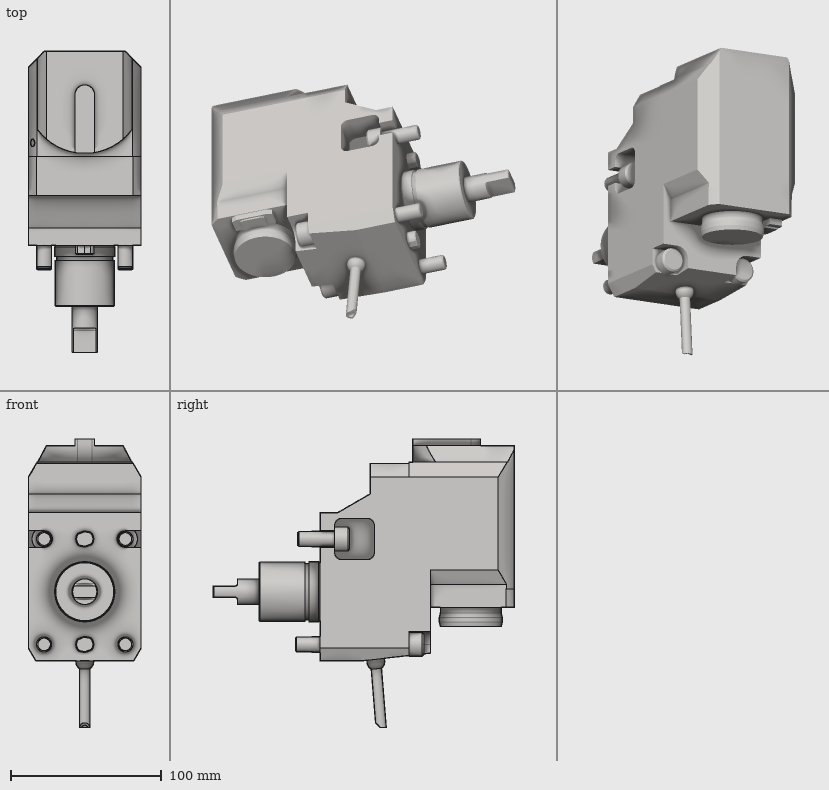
import cadquery as cq
import math


WIDTH = 75.0
HALF_WIDTH = WIDTH / 2
TAPER = math.tan(math.radians(30))
BACK_Y = 129.0
SPINDLE_Y = 100.0
BACK_CORNER = 10.8

HOUSING_BACK_Y = 73.3
HOUSING_BOTTOM_Z = -46.0
HOUSING_TOP_Z = 85.3
SHELF_TOP_Z = 52.5
SHELF_DEPTH = 11.5
STEP_Y = 33.2
STEP_Z = SHELF_TOP_Z + (STEP_Y - SHELF_DEPTH) * TAPER
BOTTOM_FLAT_DEPTH = 27.3
BOTTOM_REAR_Z = -40.8
LOWER_BEVEL_Z = -37.4
UPPER_BEVEL_Z = 76.1
HOUSING_TOP_HALF = HALF_WIDTH - (HOUSING_TOP_Z - UPPER_BEVEL_Z) * TAPER
HOUSING_BOTTOM_HALF = HALF_WIDTH - (LOWER_BEVEL_Z - HOUSING_BOTTOM_Z) * TAPER

HEAD_FRONT_Y = 58.8
HEAD_TOP_Z = 86.0
HEAD_TOP_HALF = 31.6
HEAD_BOTTOM_Z = -10.4
HEAD_BEVEL_TOP_Z = 14.4
HEAD_BEVEL_BOTTOM_Z = 4.65
NOSE_HALF = HALF_WIDTH - (HEAD_BEVEL_TOP_Z - HEAD_BEVEL_BOTTOM_Z) * TAPER
NOSE_TOP_Z = 1.7
NOSE_RADIUS = 39.5
PLUG_DIAMETER = 5.0
PLUG_DEPTH = 0.3
PLUG_Y = 68.0
PLUG_Z = 80.8

CAP_TOP_Z = 97.0
CAP_BASE_HALF = 31.3
CAP_TOP_HALF = 25.5
CAP_RADIUS = 39.0
CAP_FLAT_HALF = 4.65
CAP_FRONT_Y = SPINDLE_Y - math.sqrt(CAP_RADIUS**2 - CAP_FLAT_HALF**2)
KEY_WIDTH = 13.0
KEY_TOP_Z = 101.5

SCREW_X = 27.0
SCREW_Z = 35.0
SCREW_DIAMETER = 10.0
SCREW_HEAD_DIAMETER = 16.0
SCREW_HEAD_HEIGHT = 10.0
SCREW_CHAMFER = 0.8
SCREW_HEAD_CHAMFER = 1.2
UPPER_SEAT_Y = 9.5
UPPER_TIP_Y = -15.0
LOWER_SEAT_Y = HEAD_FRONT_Y
LOWER_TIP_Y = -16.5
POCKET_LENGTH = 26.5
POCKET_HEIGHT = 27.5
POCKET_DEPTH = 19.0
POCKET_CORNER = 5.0
SLOT_WIDTH = 11.0
COUNTERBORE_RADIUS = 8.5

DOG_DIAMETER = 12.0
DOG_RIDGE_X = -0.3
DOG_RIDGE_Z = 5.4
DOG_LEFT_X = -4.7
DOG_RIGHT_X = 3.8
DOG_LENGTH = 6.0
DOG_CHAMFER = 0.6

FLANGE_DIAMETER = 40.0
FLANGE_LENGTH = 7.6
FLANGE_CHAMFER = 1.0
GROOVE_DIAMETER = 37.5
GROOVE_LENGTH = 2.6
SHANK_DIAMETER = 39.5
SHANK_END_Y = -40.5
SHANK_CHAMFER = 0.5
SHAFT_DIAMETER = 17.0
SHAFT_END_Y = -71.2
TANG_START_Y = -55.0
TANG_THICKNESS = 7.6
TANG_FILLET = 1.5
TANG_CHAMFER = 0.5

BALL_DIAMETER = 12.0
NOZZLE_Y = 36.9
NOZZLE_Z = -46.3
TUBE_DIAMETER = 7.0
TUBE_BORE = 4.0
TUBE_BORE_DEPTH = 6.0
TUBE_TILT = 4.6
TUBE_END_Z = -90.27
TUBE_MITRE_HEIGHT = 3.0

LUG_HALF = 13.8
LUG_FLAT_HALF = 10.6
LUG_FLAT_X = 31.5
LUG_BOTTOM_Z = -14.5
LUG_STEP_HALF = 8.1
LUG_STEP_FLAT_HALF = 5.2
LUG_STEP_FLAT_X = 30.5
LUG_STEP_BOTTOM_Z = -15.6

NUT_DIAMETER = 42.0
NUT_RIM_DIAMETER = 40.5
NUT_BOTTOM_Z = -23.1
NUT_RIM_END_Z = -14.0
NUT_BAND_Z = -17.0
NUT_BEVEL_Z = -20.2


def box(x_range, y_range, z_range):
    """Axis-aligned box from its limits along X, Y and Z."""
    size = [high - low for low, high in (x_range, y_range, z_range)]
    corner = cq.Vector(x_range[0], y_range[0], z_range[0])
    return cq.Workplane(cq.Solid.makeBox(*size, corner))


def rod(diameter, start_y, end_y, x=0.0, z=0.0):
    """Round bar along Y between two places, start_y being the smaller."""
    start = cq.Vector(x, start_y, z)
    return cq.Workplane(
        cq.Solid.makeCylinder(diameter / 2, end_y - start_y, start, cq.Vector(0, 1, 0))
    )


def upright(radius, low_z, high_z):
    """Cylinder on the spindle axis."""
    return cq.Workplane(
        cq.Solid.makeCylinder(radius, high_z - low_z, cq.Vector(0, SPINDLE_Y, low_z))
    )


def mirrored_section(half_outline, start_y, end_y):
    """Prism along Y whose cross-section is symmetric about X = 0."""
    left = [(-x, z) for x, z in reversed(half_outline)]
    section = cq.Workplane("XZ", origin=(0, end_y, 0)).polyline(half_outline + left).close()
    return section.extrude(end_y - start_y)


def make_housing_block():
    side = [
        (0, HOUSING_BOTTOM_Z),
        (0, SHELF_TOP_Z),
        (SHELF_DEPTH, SHELF_TOP_Z),
        (STEP_Y, STEP_Z),
        (STEP_Y, HOUSING_TOP_Z),
        (HEAD_FRONT_Y, HOUSING_TOP_Z),
        (HEAD_FRONT_Y, UPPER_BEVEL_Z),
        (HOUSING_BACK_Y, UPPER_BEVEL_Z),
        (HOUSING_BACK_Y, BOTTOM_REAR_Z),
        (BOTTOM_FLAT_DEPTH, HOUSING_BOTTOM_Z),
    ]
    block = cq.Workplane("YZ").polyline(side).close().extrude(HALF_WIDTH, both=True)
    front_outline = [
        (HOUSING_BOTTOM_HALF, HOUSING_BOTTOM_Z),
        (HALF_WIDTH, LOWER_BEVEL_Z),
        (HALF_WIDTH, UPPER_BEVEL_Z),
        (HOUSING_TOP_HALF, HOUSING_TOP_Z),
    ]
    return block.intersect(mirrored_section(front_outline, 0, HOUSING_BACK_Y))


def make_head():
    """Spindle head with its cap, cut to the bevelled back corners, on a round-cornered nose."""
    upper = mirrored_section(
        [
            (NOSE_HALF, NOSE_TOP_Z),
            (NOSE_HALF, HEAD_BEVEL_BOTTOM_Z),
            (HALF_WIDTH, HEAD_BEVEL_TOP_Z),
            (HALF_WIDTH, UPPER_BEVEL_Z),
            (HEAD_TOP_HALF, HEAD_TOP_Z),
        ],
        HEAD_FRONT_Y,
        BACK_Y,
    )
    upper = upper.cut(box((-WIDTH, WIDTH), (0, HOUSING_BACK_Y), (NOSE_TOP_Z, HEAD_BEVEL_TOP_Z)))
    envelope = (
        box((-HALF_WIDTH, HALF_WIDTH), (0, BACK_Y), (NOSE_TOP_Z, CAP_TOP_Z))
        .edges("|Z and >Y")
        .chamfer(BACK_CORNER)
    )
    nose = box((-NOSE_HALF, NOSE_HALF), (HOUSING_BACK_Y, BACK_Y), (HEAD_BOTTOM_Z, NOSE_TOP_Z))
    square_front = (HOUSING_BACK_Y, SPINDLE_Y)
    nose_limit = upright(NOSE_RADIUS, HEAD_BOTTOM_Z, NOSE_TOP_Z).union(
        box((-HALF_WIDTH, HALF_WIDTH), square_front, (HEAD_BOTTOM_Z, NOSE_TOP_Z))
    )
    nose = nose.intersect(nose_limit)
    return upper.union(make_cap()).intersect(envelope).union(nose)


def make_cap():
    """Sloping-sided cap with a round front that has a narrow flat in the middle."""
    cap = mirrored_section(
        [(CAP_BASE_HALF, HEAD_TOP_Z), (CAP_TOP_HALF, CAP_TOP_Z)], CAP_FRONT_Y, BACK_Y
    )
    rear = box((-HALF_WIDTH, HALF_WIDTH), (SPINDLE_Y, BACK_Y), (HEAD_TOP_Z, CAP_TOP_Z))
    return cap.intersect(upright(CAP_RADIUS, HEAD_TOP_Z, CAP_TOP_Z).union(rear))


def make_key():
    """Raised key that follows the cap's front and is round at its rear end."""
    bar = box((-KEY_WIDTH / 2, KEY_WIDTH / 2), (CAP_FRONT_Y, SPINDLE_Y), (CAP_TOP_Z, KEY_TOP_Z))
    bar = bar.intersect(upright(CAP_RADIUS, CAP_TOP_Z, KEY_TOP_Z))
    return bar.union(upright(KEY_WIDTH / 2, CAP_TOP_Z, KEY_TOP_Z))


def make_plug_recess():
    """Shallow round recess square to the left upper bevel."""
    slope_x = HALF_WIDTH - HEAD_TOP_HALF
    slope_z = HEAD_TOP_Z - UPPER_BEVEL_Z
    surface_x = -HALF_WIDTH + (PLUG_Z - UPPER_BEVEL_Z) * slope_x / slope_z
    inward = cq.Vector(slope_z, 0, -slope_x).normalized()
    start = cq.Vector(surface_x, PLUG_Y, PLUG_Z) - inward * PLUG_DEPTH
    return cq.Workplane(
        cq.Solid.makeCylinder(PLUG_DIAMETER / 2, 2 * PLUG_DEPTH, start, inward)
    )


def make_upper_pocket(side):
    """Rounded side pocket for a screw head, with an open slot through to the mounting face."""
    outer_x = side * HALF_WIDTH
    x_range = sorted((outer_x, outer_x - side * POCKET_DEPTH))
    y_range = (UPPER_SEAT_Y, UPPER_SEAT_Y + POCKET_LENGTH)
    z_range = (SCREW_Z - POCKET_HEIGHT / 2, SCREW_Z + POCKET_HEIGHT / 2)
    pocket = box(x_range, y_range, z_range).edges("|X").fillet(POCKET_CORNER)
    slot = box(
        sorted((side * SCREW_X, outer_x)),
        (0, UPPER_SEAT_Y + POCKET_CORNER),
        (SCREW_Z - SLOT_WIDTH / 2, SCREW_Z + SLOT_WIDTH / 2),
    )
    slot_end = rod(SLOT_WIDTH, 0, UPPER_SEAT_Y + POCKET_CORNER, side * SCREW_X, SCREW_Z)
    return pocket.union(slot).union(slot_end)


def make_lower_pocket(side):
    """Rear seat for a screw head, open outward and downward, round in its inner corner."""
    inner_x = side * (SCREW_X - COUNTERBORE_RADIUS)
    pocket = box(
        sorted((inner_x, side * WIDTH)),
        (LOWER_SEAT_Y, HOUSING_BACK_Y),
        (2 * HOUSING_BOTTOM_Z, COUNTERBORE_RADIUS - SCREW_Z),
    )
    inner_edge = "<X" if side > 0 else ">X"
    return pocket.edges("|Y and >Z").edges(inner_edge).fillet(COUNTERBORE_RADIUS)


def make_screw(x, z, seat_y, tip_y):
    shank = rod(SCREW_DIAMETER, tip_y, seat_y, x, z).faces("<Y").chamfer(SCREW_CHAMFER)
    head = rod(SCREW_HEAD_DIAMETER, seat_y, seat_y + SCREW_HEAD_HEIGHT, x, z)
    return shank.union(head.faces(">Y").chamfer(SCREW_HEAD_CHAMFER))


def make_dog(z):
    """Locating dog relieved above and below by two flats that meet in a ridge."""
    radius = DOG_DIAMETER / 2
    left = (DOG_LEFT_X, math.sqrt(radius**2 - DOG_LEFT_X**2))
    ridge = (DOG_RIDGE_X, DOG_RIDGE_Z)
    right = (DOG_RIGHT_X, math.sqrt(radius**2 - DOG_RIGHT_X**2))

    def opposite(point):
        return (-point[0], -point[1])

    section = (
        cq.Workplane("XZ", origin=(0, 0, z))
        .moveTo(*left)
        .lineTo(*ridge)
        .lineTo(*right)
        .threePointArc((radius, 0), opposite(left))
        .lineTo(*opposite(ridge))
        .lineTo(*opposite(right))
        .threePointArc((-radius, 0), left)
        .close()
    )
    return section.extrude(DOG_LENGTH).faces("<Y").chamfer(DOG_CHAMFER)


def make_shank():
    groove_end_y = -FLANGE_LENGTH - GROOVE_LENGTH
    flange = rod(FLANGE_DIAMETER, -FLANGE_LENGTH, 0).faces(">Y").chamfer(FLANGE_CHAMFER)
    groove = rod(GROOVE_DIAMETER, groove_end_y, -FLANGE_LENGTH)
    barrel = rod(SHANK_DIAMETER, SHANK_END_Y, groove_end_y).faces("<Y").chamfer(SHANK_CHAMFER)
    return flange.union(groove).union(barrel).union(make_drive_shaft())


def make_drive_shaft():
    """Round shaft ending in a flat tang."""
    shaft = rod(SHAFT_DIAMETER, SHAFT_END_Y, SHANK_END_Y).faces("<Y").chamfer(TANG_CHAMFER)
    for side in (1, -1):
        relief = box(
            (-SHAFT_DIAMETER, SHAFT_DIAMETER),
            (2 * SHAFT_END_Y, TANG_START_Y),
            sorted((side * TANG_THICKNESS / 2, side * SHAFT_DIAMETER)),
        )
        root = "<Z" if side > 0 else ">Z"
        shaft = shaft.cut(relief.edges("|X and >Y").edges(root).fillet(TANG_FILLET))
    return shaft


def make_nozzle():
    """Swivel ball with a slightly tilted tube whose end is mitred toward the front."""
    tilt = math.radians(TUBE_TILT)
    pivot = cq.Vector(0, NOZZLE_Y, NOZZLE_Z)
    direction = cq.Vector(0, math.sin(tilt), -math.cos(tilt))
    reach = (NOZZLE_Z - TUBE_END_Z) / math.cos(tilt)
    ball = cq.Workplane(cq.Solid.makeSphere(BALL_DIAMETER / 2, pivot, angleDegrees1=-90))
    tube = cq.Workplane(
        cq.Solid.makeCylinder(TUBE_DIAMETER / 2, reach + TUBE_DIAMETER, pivot, direction)
    )
    bore = cq.Workplane(
        cq.Solid.makeCylinder(
            TUBE_BORE / 2,
            TUBE_BORE_DEPTH + TUBE_DIAMETER,
            pivot + direction * (reach - TUBE_BORE_DEPTH),
            direction,
        )
    )
    end_y = NOZZLE_Y + reach * math.sin(tilt)
    front_y = end_y - TUBE_DIAMETER / 2
    keep = (
        box(
            (-TUBE_DIAMETER, TUBE_DIAMETER),
            (front_y, end_y + TUBE_DIAMETER),
            (TUBE_END_Z, NOZZLE_Z),
        )
        .edges("<Y and <Z")
        .chamfer(TUBE_MITRE_HEIGHT)
    )
    beyond_front = box(
        (-TUBE_DIAMETER, TUBE_DIAMETER),
        (front_y - TUBE_DIAMETER, front_y),
        (TUBE_END_Z + TUBE_MITRE_HEIGHT, NOZZLE_Z),
    )
    return ball.union(tube.cut(bore).intersect(keep.union(beyond_front)))


def make_lug_step(half, flat_half, flat_x, z_range):
    """Bar toward -X with a flat tip whose corners follow a round about the spindle axis."""
    bar = box((-flat_x, -NUT_DIAMETER / 2), (SPINDLE_Y - half, SPINDLE_Y + half), z_range)
    return bar.intersect(upright(math.hypot(flat_x, flat_half), *z_range))


def make_lug():
    """Two-step lug under the nose, ending clear of the collet nut."""
    upper = make_lug_step(LUG_HALF, LUG_FLAT_HALF, LUG_FLAT_X, (LUG_BOTTOM_Z, HEAD_BOTTOM_Z))
    lower = make_lug_step(
        LUG_STEP_HALF, LUG_STEP_FLAT_HALF, LUG_STEP_FLAT_X, (LUG_STEP_BOTTOM_Z, LUG_BOTTOM_Z)
    )
    return upper.union(lower)


def make_nut():
    """Collet nut under the head, tapering to a narrower rim above and a bevelled end below."""
    rim = NUT_RIM_DIAMETER / 2
    radius = NUT_DIAMETER / 2
    half_profile = [
        (0, HEAD_BOTTOM_Z),
        (rim, HEAD_BOTTOM_Z),
        (rim, NUT_RIM_END_Z),
        (radius, NUT_BAND_Z),
        (radius, NUT_BEVEL_Z),
        (rim, NUT_BOTTOM_Z),
        (0, NUT_BOTTOM_Z),
    ]
    nut = cq.Workplane("XZ").polyline(half_profile).close().revolve(360, (0, 0, 0), (0, 1, 0))
    return nut.translate((0, SPINDLE_Y, 0))


def make_tool_holder():
    holder = make_housing_block().union(make_head()).union(make_key()).union(make_lug())
    holder = holder.cut(make_plug_recess())
    for side in (1, -1):
        holder = holder.cut(make_upper_pocket(side)).cut(make_lower_pocket(side))
    for side in (1, -1):
        holder = holder.union(make_screw(side * SCREW_X, SCREW_Z, UPPER_SEAT_Y, UPPER_TIP_Y))
        holder = holder.union(make_screw(side * SCREW_X, -SCREW_Z, LOWER_SEAT_Y, LOWER_TIP_Y))
    for z in (SCREW_Z, -SCREW_Z):
        holder = holder.union(make_dog(z))
    return holder.union(make_shank()).union(make_nozzle())


tool_holder = make_tool_holder()
collet_nut = make_nut()
result = cq.Compound.makeCompound([tool_holder.solids().val(), collet_nut.solids().val()])